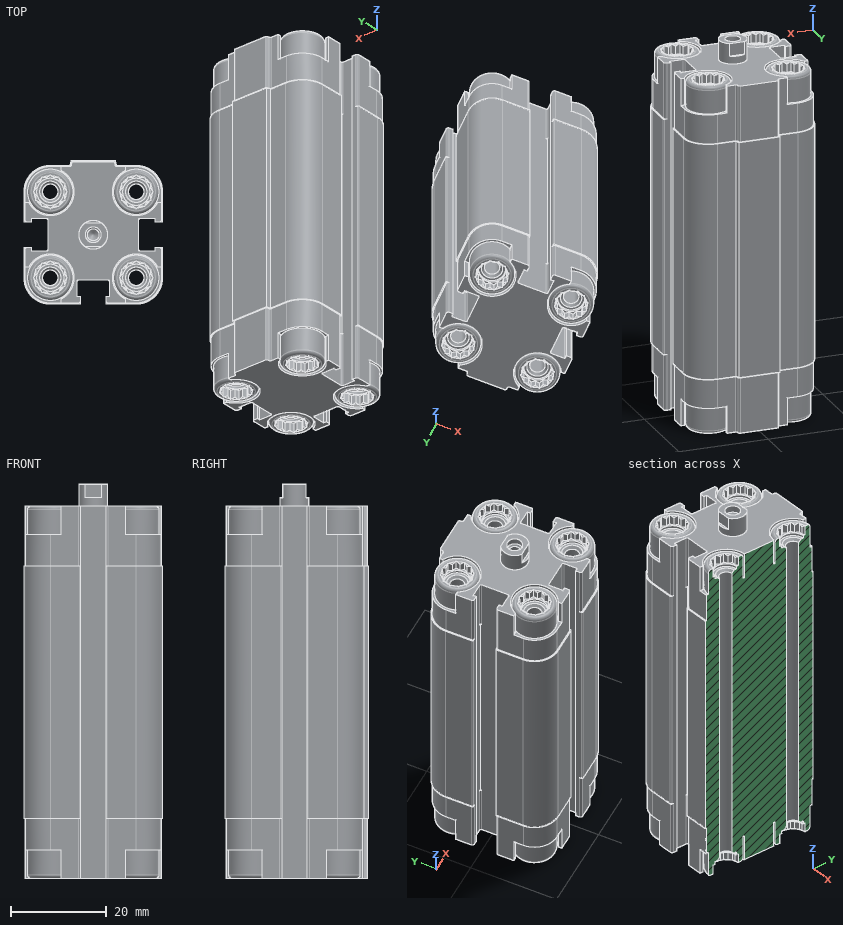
import cadquery as cq
import math

total_length = 82.5
rod_exposed = 4.5
housing_length = total_length - rod_exposed
cap_length = 12.5

barrel_half = 14.5
cap_step = 0.25
cap_half = barrel_half - cap_step
boss_offset = 9.0

slot_mouth_half = 2.6
slot_inner_half = 3.4
slot_lip_inside = 12.9
slot_floor = 9.5
barrel_lip_radius = 0.25
cap_lip_radius = 0.5
cap_slot_floor_radius = 0.3

barrel_rib_top_half = 4.6
barrel_rib_base_half = 4.9
barrel_rib_top = 15.5
cap_rib_half = 4.5
cap_rib_top = barrel_rib_top - cap_step
cap_rib_radius = 0.4

boss_diameter = 9.5
boss_edge_radius = 0.75
boss_gap_diameter = 10.0
notch_depth = 6.0
notch_inner = 6.8

spline_points = 12
spline_root_radius = 3.55
spline_tip_radius = 3.05
spline_depth = 2.2
spline_chamfer = 0.3
socket_diameter = 5.7
socket_depth = 2.9
screw_cone_diameter = 4.45
screw_hole_diameter = 3.2
screw_cone_depth = 0.6

rod_diameter = 6.0
rod_length = rod_exposed + cap_length
rod_flat_half = 2.5
rod_flat_length = 2.8
rod_counterbore_diameter = 3.3
rod_counterbore_depth = 1.6
rod_cone_depth = 0.4
rod_bore_diameter = 2.5
rod_bore_depth = 5.8
drill_point_angle = 118.0

boss_centres = [
    (x_side * boss_offset, y_side * boss_offset)
    for x_side in (-1, 1)
    for y_side in (-1, 1)
]


def slot_tool(length, half, lip_radius, floor_radius):
    """T-slot cutter on the -Y side, with a mouth flared by the rounded lip edges."""
    mouth = (
        cq.Workplane("XY")
        .moveTo(-slot_mouth_half, -slot_floor)
        .lineTo(slot_mouth_half, -slot_floor)
        .lineTo(slot_mouth_half, lip_radius - half)
        .radiusArc((slot_mouth_half + lip_radius, -half), -lip_radius)
        .lineTo(-slot_mouth_half - lip_radius, -half)
        .radiusArc((-slot_mouth_half, lip_radius - half), -lip_radius)
        .close()
        .extrude(length)
    )
    chamber_depth = slot_lip_inside - slot_floor
    chamber = (
        cq.Workplane("XY")
        .center(0, -slot_floor - chamber_depth / 2)
        .rect(2 * slot_inner_half, chamber_depth)
        .extrude(length)
    )
    if floor_radius > 0:
        chamber = chamber.edges("|Z and >Y").fillet(floor_radius)
    return mouth.union(chamber)


def barrel_rib(length):
    """Rib with straight, slightly tapered sides."""
    return (
        cq.Workplane("XY")
        .moveTo(-barrel_rib_base_half, barrel_half)
        .lineTo(barrel_rib_base_half, barrel_half)
        .lineTo(barrel_rib_top_half, barrel_rib_top)
        .lineTo(-barrel_rib_top_half, barrel_rib_top)
        .close()
        .extrude(length)
    )


def cap_rib(length):
    """Rib with rounded crest edges and a rounded foot on each side."""
    radius = cap_rib_radius
    foot_half = cap_rib_half + radius
    crest_half = cap_rib_half - radius
    return (
        cq.Workplane("XY")
        .moveTo(-foot_half, cap_half)
        .lineTo(foot_half, cap_half)
        .radiusArc((cap_rib_half, cap_half + radius), radius)
        .lineTo(cap_rib_half, cap_rib_top - radius)
        .radiusArc((crest_half, cap_rib_top), -radius)
        .lineTo(-crest_half, cap_rib_top)
        .radiusArc((-cap_rib_half, cap_rib_top - radius), -radius)
        .lineTo(-cap_rib_half, cap_half + radius)
        .radiusArc((-foot_half, cap_half), radius)
        .close()
        .extrude(length)
    )


def profile_length(length, half, rib, lip_radius, floor_radius):
    """A length of the housing profile standing on Z = 0."""
    body = (
        cq.Workplane("XY")
        .rect(2 * half, 2 * half)
        .extrude(length)
        .edges("|Z")
        .fillet(half - boss_offset)
        .union(rib)
    )
    slot = slot_tool(length, half, lip_radius, floor_radius)
    for angle in (-90, 0, 90):
        body = body.cut(slot.rotate((0, 0, 0), (0, 0, 1), angle))
    return body


def corner_notches():
    """Material removed around the four bosses at the lower end."""
    notch_size = barrel_half - notch_inner
    notch_centre = notch_inner + notch_size / 2
    notches = (
        cq.Workplane("XY")
        .rect(2 * notch_centre, 2 * notch_centre, forConstruction=True)
        .vertices()
        .rect(notch_size, notch_size)
        .extrude(notch_depth)
    )
    gaps = (
        cq.Workplane("XY")
        .pushPoints(boss_centres)
        .circle(boss_gap_diameter / 2)
        .extrude(notch_depth)
    )
    bosses = (
        cq.Workplane("XY")
        .pushPoints(boss_centres)
        .circle(boss_diameter / 2)
        .extrude(notch_depth)
        .faces("<Z")
        .edges()
        .fillet(boss_edge_radius)
    )
    return notches.union(gaps).cut(bosses)


def socket_tool():
    """Cutter for one splined socket at the lower end, centred on the Z axis."""
    outline = []
    for index in range(2 * spline_points):
        radius = spline_tip_radius if index % 2 else spline_root_radius
        angle = math.pi * index / spline_points
        outline.append((radius * math.cos(angle), radius * math.sin(angle)))
    spline = cq.Workplane("XY").polyline(outline).close().extrude(spline_depth)
    stepped_bore = (
        cq.Workplane("XZ")
        .polyline([
            (0, 0),
            (spline_tip_radius + spline_chamfer, 0),
            (spline_tip_radius, spline_chamfer),
            (socket_diameter / 2, spline_chamfer),
            (socket_diameter / 2, socket_depth),
            (screw_cone_diameter / 2, socket_depth),
            (screw_hole_diameter / 2, socket_depth + screw_cone_depth),
            (0, socket_depth + screw_cone_depth),
        ])
        .close()
        .revolve(360, (0, 0), (0, 1))
    )
    return spline.union(stepped_bore)


def make_housing():
    cap = profile_length(
        cap_length, cap_half, cap_rib(cap_length), cap_lip_radius, cap_slot_floor_radius
    )
    cap = cap.cut(corner_notches())
    socket = socket_tool()
    for x, y in boss_centres:
        cap = cap.cut(socket.translate((x, y, 0)))
    upper_cap = cap.mirror("XY").translate((0, 0, housing_length))

    barrel_length = housing_length - 2 * cap_length
    barrel = profile_length(
        barrel_length, barrel_half, barrel_rib(barrel_length), barrel_lip_radius, 0
    )
    body = barrel.translate((0, 0, cap_length)).union(cap).union(upper_cap)

    screw_holes = (
        cq.Workplane("XY")
        .pushPoints(boss_centres)
        .circle(screw_hole_diameter / 2)
        .extrude(housing_length)
    )
    rod_hole = (
        cq.Workplane("XY", origin=(0, 0, total_length - rod_length))
        .circle(rod_diameter / 2)
        .extrude(rod_length)
    )
    return body.cut(screw_holes).cut(rod_hole)


def make_rod():
    rod = (
        cq.Workplane("XY", origin=(0, 0, total_length - rod_length))
        .circle(rod_diameter / 2)
        .extrude(rod_length)
    )
    flat_depth = rod_diameter / 2 - rod_flat_half
    for side in (-1, 1):
        flat = cq.Workplane("XY").box(rod_diameter, flat_depth, rod_flat_length)
        rod = rod.cut(flat.translate((
            0,
            side * (rod_flat_half + flat_depth / 2),
            total_length - rod_flat_length / 2,
        )))
    bore_radius = rod_bore_diameter / 2
    point_depth = bore_radius / math.tan(math.radians(drill_point_angle / 2))
    bore = (
        cq.Workplane("XZ", origin=(0, 0, total_length))
        .polyline([
            (0, 0),
            (rod_counterbore_diameter / 2, 0),
            (rod_counterbore_diameter / 2, -rod_counterbore_depth),
            (bore_radius, -rod_counterbore_depth - rod_cone_depth),
            (bore_radius, -rod_bore_depth),
            (0, -rod_bore_depth - point_depth),
        ])
        .close()
        .revolve(360, (0, 0), (0, 1))
    )
    return rod.cut(bore)


housing = make_housing()
rod = make_rod()

result = cq.Compound.makeCompound([housing.val(), rod.val()])